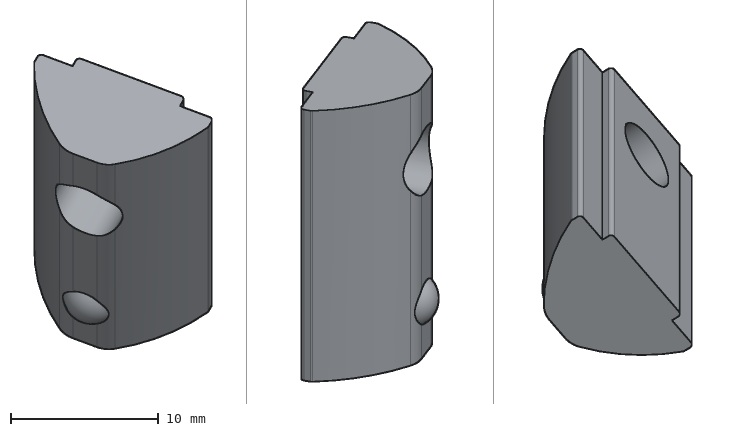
import cadquery as cq

length = 21.0
half_width = 13.0 / 2
total_depth = 8.3
tongue_half_width = 4.01
step_depth = 0.8
flank_start_depth = 1.62
ball_protrusion = 0.8
body_depth = total_depth - ball_protrusion
nose_half_width = 1.51
flank_mid_x = 3.86
flank_mid_depth = 5.55

corner_radius = 0.3
nose_radius = 2.0

hole_diameter = 5.0
hole_height = 15.0
ball_radius = 2.0
ball_height = 4.0

SELECTION_MARGIN = 0.02


def edges_at(solid, x, y):
    """Select the long edge that runs through (x, y)."""
    box = cq.selectors.BoxSelector(
        (x - SELECTION_MARGIN, y - SELECTION_MARGIN, 0),
        (x + SELECTION_MARGIN, y + SELECTION_MARGIN, length),
    )
    return solid.edges("|Z").edges(box)


def make_body():
    """Extrude the stepped profile with convex flanks, then round its long edges."""
    body = (
        cq.Workplane("XY")
        .moveTo(-tongue_half_width, 0)
        .lineTo(tongue_half_width, 0)
        .lineTo(tongue_half_width, -step_depth)
        .lineTo(half_width, -step_depth)
        .lineTo(half_width, -flank_start_depth)
        .threePointArc((flank_mid_x, -flank_mid_depth), (nose_half_width, -body_depth))
        .lineTo(-nose_half_width, -body_depth)
        .threePointArc((-flank_mid_x, -flank_mid_depth), (-half_width, -flank_start_depth))
        .lineTo(-half_width, -step_depth)
        .lineTo(-tongue_half_width, -step_depth)
        .close()
        .extrude(length)
    )
    rounded_corners = [
        (tongue_half_width, 0, corner_radius),
        (half_width, -step_depth, corner_radius),
        (half_width, -flank_start_depth, corner_radius),
        (nose_half_width, -body_depth, nose_radius),
    ]
    for x, y, radius in rounded_corners:
        for side in (-1, 1):
            body = edges_at(body, side * x, y).fillet(radius)
    return body


def make_hole():
    """Through hole along Y."""
    return (
        cq.Workplane("XZ")
        .center(0, hole_height)
        .circle(hole_diameter / 2)
        .extrude(body_depth)
    )


def make_ball():
    """Detent ball, partly sunk into the nose."""
    return cq.Workplane("XY").sphere(ball_radius).translate(
        (0, ball_radius - total_depth, ball_height)
    )


result = make_body().cut(make_hole()).union(make_ball())